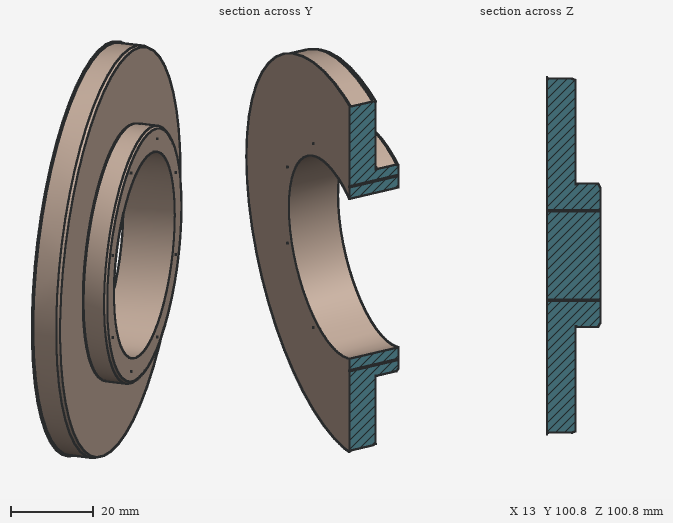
import cadquery as cq

flange_radius = 50.4
flange_thickness = 7.0
rim_width = 0.3
rim_step = 0.3
flange_chamfer_length = 0.9
flange_chamfer_depth = 0.3

hub_radius = 31.3
total_thickness = 13.0
hub_chamfer = 0.6
neck_width = 0.3
neck_depth = 0.2

bore_radius = 25.1

pinhole_count = 8
pinhole_diameter = 0.2

body_radius = flange_radius - rim_step
neck_radius = hub_radius - neck_depth
neck_end = flange_thickness + neck_width
pinhole_circle_radius = (bore_radius + hub_radius) / 2
half_pitch = 180 / pinhole_count


def make_ring():
    """Revolve the flange and hub section, drawn as (X, radius), about X."""
    return (
        cq.Workplane("XY")
        .moveTo(0, bore_radius)
        .lineTo(0, flange_radius)
        .lineTo(rim_width, body_radius)
        .lineTo(flange_thickness - flange_chamfer_length, body_radius)
        .lineTo(flange_thickness, body_radius - flange_chamfer_depth)
        .lineTo(flange_thickness, neck_radius)
        .lineTo(neck_end, hub_radius)
        .lineTo(total_thickness - hub_chamfer, hub_radius)
        .lineTo(total_thickness, hub_radius - hub_chamfer)
        .lineTo(total_thickness, bore_radius)
        .close()
        .revolve(360, (0, 0, 0), (1, 0, 0))
    )


def make_pinholes():
    """Through pins midway across the hub wall, straddling the Y and Z axes."""
    return (
        cq.Workplane("YZ")
        .polarArray(pinhole_circle_radius, half_pitch, 360, pinhole_count)
        .circle(pinhole_diameter / 2)
        .extrude(total_thickness)
    )


result = make_ring().cut(make_pinholes())